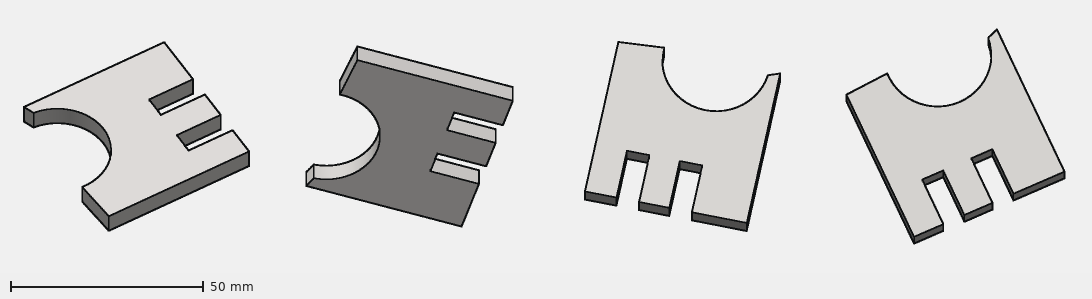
import cadquery as cq
import math

plate_width = 43.05
plate_height = 42.6
thickness = 6.0
tilt_degrees = 1.3

slot_width = thickness
slot_depth = 13.35
slot_left_edges = (14.6, 28.65)

recess_radius = 14.0
recess_center_x = 17.0
left_end_rise = 1.15
right_end_drop = 0.9


def half_chord(offset):
    """Half width of the recess circle at a vertical offset from its centre."""
    return math.sqrt(recess_radius**2 - offset**2)


def make_plate():
    """Plate with slanted lower edges running to the ends of the round recess."""
    arc_left = (recess_center_x - half_chord(left_end_rise), left_end_rise)
    arc_top = (recess_center_x, recess_radius)
    arc_right = (recess_center_x + half_chord(right_end_drop), -right_end_drop)
    return (
        cq.Workplane("XY")
        .moveTo(0, 0)
        .lineTo(*arc_left)
        .threePointArc(arc_top, arc_right)
        .lineTo(plate_width, 0)
        .lineTo(plate_width, plate_height)
        .lineTo(0, plate_height)
        .close()
        .extrude(thickness)
    )


def make_slot(left_edge):
    """Rectangular cutter reaching down from the top edge, through the thickness."""
    return (
        cq.Workplane("XY")
        .box(slot_width, slot_depth, thickness, centered=False)
        .translate((left_edge, plate_height - slot_depth, 0))
    )


plate = make_plate()
for slot_left_edge in slot_left_edges:
    plate = plate.cut(make_slot(slot_left_edge))

result = plate.rotate((0, 0, 0), (0, 0, 1), tilt_degrees)